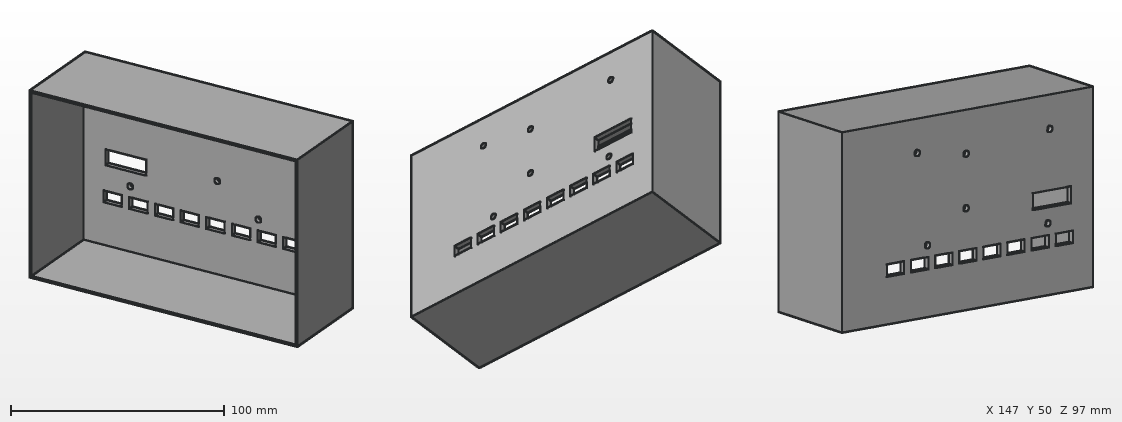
import cadquery as cq

width = 147.0
depth = 50.0
height = 97.0
wall = 1.0
panel_thickness = 3.0

hole_diameter = 3.0
upper_hole_z = 31.8
upper_hole_left_x = -48.1
upper_hole_spacing = 77.5
middle_hole_x = 0.8
middle_hole_top_z = 27.2
middle_hole_spacing = 26.4
lower_hole_z = -13.7
lower_hole_left_x = -47.0
lower_hole_spacing = 70.4

window_width = 22.4
window_height = 8.2
window_x = -49.4
window_z = -1.9

slot_count = 8
slot_width = 10.0
slot_height = 6.0
slot_pitch = 14.1
first_slot_x = -56.6
slot_z = -22.4

hole_centres = [
    (upper_hole_left_x, upper_hole_z),
    (upper_hole_left_x + upper_hole_spacing, upper_hole_z),
    (middle_hole_x, middle_hole_top_z),
    (middle_hole_x, middle_hole_top_z - middle_hole_spacing),
    (lower_hole_left_x, lower_hole_z),
    (lower_hole_left_x + lower_hole_spacing, lower_hole_z),
]
slot_centres = [(first_slot_x + i * slot_pitch, slot_z) for i in range(slot_count)]


def block_along_y(size_x, size_z, length, centres=((0.0, 0.0),)):
    """Rectangular blocks at (x, z) centres, running from Y = 0 to Y = length."""
    sketch = cq.Workplane("XZ").pushPoints(centres)
    return sketch.rect(size_x, size_z).extrude(-length)


def make_shell():
    outside = block_along_y(width, height, depth)
    cavity = block_along_y(width - 2 * wall, height - 2 * wall, depth - panel_thickness)
    return outside.cut(cavity)


def make_mounting_holes():
    return cq.Workplane("XZ").pushPoints(hole_centres).circle(hole_diameter / 2).extrude(-depth)


def make_window():
    return block_along_y(window_width, window_height, depth, [(window_x, window_z)])


def make_slots():
    return block_along_y(slot_width, slot_height, depth, slot_centres)


result = make_shell().cut(make_mounting_holes()).cut(make_window()).cut(make_slots())